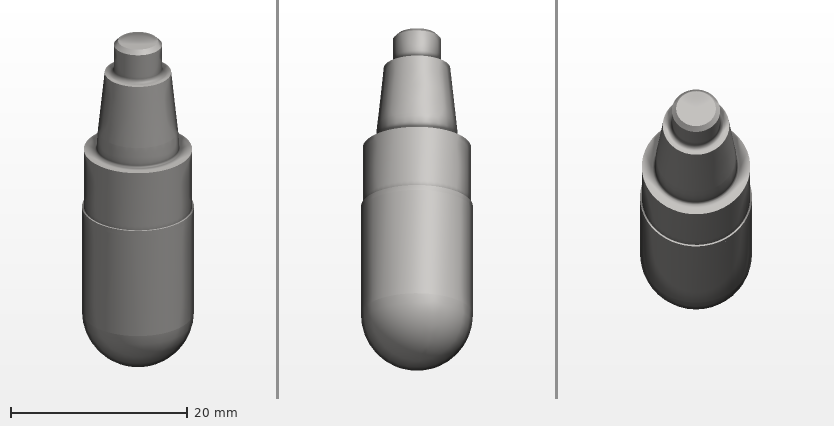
import cadquery as cq
import math

total_height = 40.6
body_radius = 12.7 / 2
split_height = 19.05

collar_top = 19.65
sleeve_radius = 12.3 / 2
sleeve_top = 26.88
neck_base_radius = 4.65
neck_base_fillet = 0.25
neck_bend_height = 29.27
neck_bend_radius = 4.55
neck_top = 36.62
neck_top_radius = 3.78
tip_radius = 5.5 / 2
tip_base_fillet = 0.5
tip_chamfer = 0.5


def revolve_profile(profile):
    """Turn a profile of (radius, height) points around the Z axis."""
    return profile.close().revolve(360, (0, 0, 0), (0, 1, 0))


def concave_fillet(profile, radius, height, size):
    """Sweep inward and up from a flat shoulder to an upright wall of the given radius."""
    offset = size * (1 - math.sqrt(0.5))
    return profile.lineTo(radius + size, height).threePointArc(
        (radius + offset, height + offset), (radius, height + size)
    )


def make_base():
    """Solid cylinder with a hemispherical lower end."""
    diagonal = body_radius * math.sqrt(0.5)
    profile = (
        cq.Workplane("XZ")
        .moveTo(0, 0)
        .threePointArc((diagonal, body_radius - diagonal), (body_radius, body_radius))
        .lineTo(body_radius, split_height)
        .lineTo(0, split_height)
    )
    return revolve_profile(profile)


def make_plug():
    """Collar, sleeve, tapering neck and chamfered tip in one piece."""
    profile = (
        cq.Workplane("XZ")
        .moveTo(0, split_height)
        .lineTo(body_radius, split_height)
        .lineTo(body_radius, collar_top)
        .lineTo(sleeve_radius, collar_top)
        .lineTo(sleeve_radius, sleeve_top)
    )
    profile = concave_fillet(profile, neck_base_radius, sleeve_top, neck_base_fillet)

    profile = (
        profile
        .tangentArcPoint((neck_bend_radius, neck_bend_height), relative=False)
        .lineTo(neck_top_radius, neck_top)
    )

    profile = concave_fillet(profile, tip_radius, neck_top, tip_base_fillet)
    profile = (
        profile
        .lineTo(tip_radius, total_height - tip_chamfer)
        .lineTo(tip_radius - tip_chamfer, total_height)
        .lineTo(0, total_height)
    )
    return revolve_profile(profile)


base = make_base()
plug = make_plug()

result = cq.Compound.makeCompound([base.val(), plug.val()])